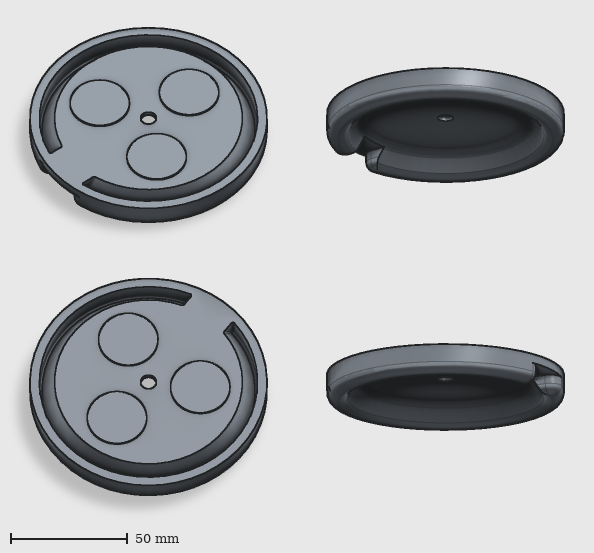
import cadquery as cq
import math

outer_radius = 50.7
housing_height = 12.0
plate_thickness = 2.0
bridge_thickness = 4.0
center_hole_diameter = 6.7

groove_outer_radius = 46.6
groove_inner_radius = 40.1
groove_floor_height = 4.0
groove_floor_width = 1.1
groove_end_gap = 21.7
groove_fillet = 0.7

cone_wall_thickness = 4.1
notch_width = 14.4
notch_corner_fillet = 4.9
hollow_fillet = 5.6
skirt_bottom_fillet = 4.4

pad_diameter = 25.4
pad_thickness = 0.7
pad_circle_radius = 22.3
pad_count = 3
first_pad_angle = 90.0

groove_depth = housing_height - groove_floor_height
groove_floor_radius = groove_outer_radius - groove_floor_width
cone_slope = (groove_floor_radius - groove_inner_radius) / groove_depth


def inner_cone_radius(height):
    """Radius of the hollow at a height, parallel to the conical groove wall."""
    groove_wall_radius = groove_inner_radius + cone_slope * (housing_height - height)
    return groove_wall_radius - cone_wall_thickness * math.hypot(1, cone_slope)


def revolve_profile(points):
    """Turn an outline of (radius, height) points around the Z axis."""
    return cq.Workplane("XZ").polyline(points).close().revolve(360, (0, 0), (0, 1))


def front_block(width, height):
    """Block from the Z axis out to the -Y edge, standing on the base plane."""
    block = cq.Workplane("XY").box(width, outer_radius, height, centered=(True, False, False))
    return block.translate((0, -outer_radius, 0))


def make_skirted_cap():
    """Solid cap, hollowed and notched from below, with rounded lower edges."""
    hollow_height = housing_height - plate_thickness
    notch_height = housing_height - bridge_thickness
    cap = cq.Workplane("XY").circle(outer_radius).extrude(housing_height)
    hollow = revolve_profile(
        [
            (0, 0),
            (inner_cone_radius(0), 0),
            (inner_cone_radius(hollow_height), hollow_height),
            (0, hollow_height),
        ]
    ).faces(">Z").edges().fillet(hollow_fillet)
    cap = cap.cut(hollow).cut(front_block(notch_width, notch_height))
    cap = cap.edges("|Z").edges("<Y").fillet(notch_corner_fillet)
    return cap.faces("<Z").edges().fillet(skirt_bottom_fillet)


def make_groove():
    """Ring of material removed from the top, interrupted at the -Y side."""
    ring = revolve_profile(
        [
            (groove_inner_radius, housing_height),
            (groove_floor_radius, groove_floor_height),
            (groove_outer_radius, groove_floor_height),
            (groove_outer_radius, housing_height),
        ]
    )
    groove = ring.cut(front_block(groove_end_gap, housing_height))
    below_top = cq.selectors.StringSyntaxSelector("not >Z")
    cone_foot = cq.selectors.RadiusNthSelector(1)
    return groove.edges(below_top - cone_foot).fillet(groove_fillet)


def make_housing():
    center_hole = cq.Workplane("XY").circle(center_hole_diameter / 2).extrude(housing_height)
    return make_skirted_cap().cut(make_groove()).cut(center_hole)


def make_pad(angle):
    """Round pad resting on the plate at an angle around the center."""
    x = pad_circle_radius * math.cos(math.radians(angle))
    y = pad_circle_radius * math.sin(math.radians(angle))
    pad = cq.Workplane("XY").circle(pad_diameter / 2).extrude(pad_thickness)
    return pad.translate((x, y, housing_height))


housing = make_housing()
pads = []
for index in range(pad_count):
    pads.append(make_pad(first_pad_angle + index * 360 / pad_count))

result = cq.Compound.makeCompound([housing.val(), *[pad.val() for pad in pads]])